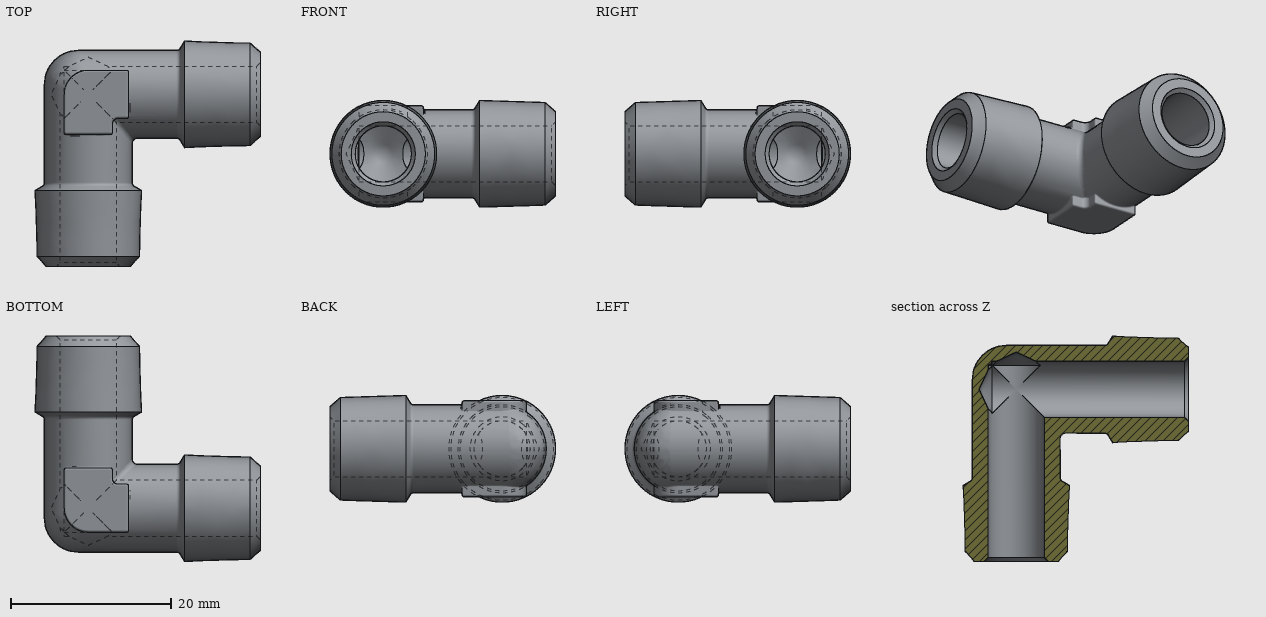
import cadquery as cq
import math

leg_length = 21.5

tube_radius = 5.5
outer_elbow_fillet = 4.3
inner_elbow_fillet = 0.6

collar_start = 12.0
collar_radius = 6.67
taper_per_side = 1 / 32
shoulder_angle = 60
neck_fillet = 0.5
end_chamfer_start = 20.2
end_face_radius = 5.25

shoulder_slope = math.tan(math.radians(shoulder_angle))
neck_corner = collar_start - (collar_radius - tube_radius) / shoulder_slope
neck_fillet_start = neck_corner - neck_fillet * math.tan(math.radians(shoulder_angle / 2))

bore_radius = 3.5
bore_chamfer = 0.5
bore_past_axis = 3.0
drill_tip_angle = 130

pad_height = 6.0
pad_near = 3.0
pad_far = 5.0
pad_corner_radius = 3.0
notch_radius = 0.75
pad_edge_fillet = 0.25
pad_corner_fillet = 0.2
pad_root_fillet = 0.2


def turned(points):
    """Revolve an (axial position, radius) outline about the X axis, with its seam at the top."""
    return cq.Workplane("XZ").polyline(points).close().revolve(360, (0, 0, 0), (1, 0, 0))


def make_both_legs(leg):
    """Return the +X leg and its matching -Y leg."""
    other = leg.mirror("XZ").rotate((0, 0, 0), (0, 0, 1), -90)
    return leg, other


def make_elbow():
    """Two tubes meeting at a mitre, as one solid."""
    tube = turned([
        (-tube_radius, 0),
        (neck_fillet_start, 0),
        (neck_fillet_start, tube_radius),
        (-tube_radius, tube_radius),
    ])
    side = 2 * leg_length
    mitre_half = (
        cq.Workplane("XY")
        .polyline([(-side, side), (side, side), (side, -side)])
        .close()
        .extrude(side, both=True)
    )
    leg, other = make_both_legs(tube.intersect(mitre_half))
    return leg.union(other)


def make_pad():
    """One wrench pad, rising from the elbow's mid-plane to the pad height."""
    pad = (
        cq.Workplane("XY")
        .moveTo(-pad_near, -pad_far)
        .lineTo(pad_near, -pad_far)
        .lineTo(pad_near, -pad_near)
        .lineTo(pad_far, -pad_near)
        .lineTo(pad_far, pad_near)
        .lineTo(-pad_near, pad_near)
        .close()
        .extrude(pad_height)
    )

    def corner(x, y):
        return cq.selectors.NearestToPointSelector((x, y, pad_height / 2))

    pad = pad.edges(corner(-pad_near, pad_near)).fillet(pad_corner_radius)
    pad = pad.edges(corner(pad_near, -pad_near)).fillet(notch_radius)
    for x, y in [(-pad_near, -pad_far), (pad_near, -pad_far), (pad_far, -pad_near), (pad_far, pad_near)]:
        pad = pad.edges(corner(x, y)).fillet(pad_corner_fillet)
    return pad.faces(">Z").edges().fillet(pad_edge_fillet)


def fillet_mitre(body, side, radius):
    """Round the curved mitre edge on the inner (side = 1) or outer (side = -1) of the elbow."""
    def is_mitre_edge(edge):
        middle = edge.Center()
        return edge.geomType() == "ELLIPSE" and side * middle.x > pad_near

    mitre_edges = [edge for edge in body.edges().vals() if is_mitre_edge(edge)]
    return body.newObject(mitre_edges).fillet(radius)


def fillet_pad_roots(body):
    """Round the joints between the pad walls and the tubes."""
    margin = 0.1
    low = -pad_far - margin
    high = pad_far + margin
    for bottom, top in [(pad_near, tube_radius), (-tube_radius, -pad_near)]:
        box = cq.selectors.BoxSelector((low, low, bottom), (high, high, top))
        body = body.edges("not |Z").edges(box).fillet(pad_root_fillet)
    return body


def make_collar():
    """Threaded end with a sloped shoulder, a tapered side, an end chamfer and a filleted neck."""
    chamfer_radius = collar_radius - taper_per_side * (end_chamfer_start - collar_start)

    def neck_arc_point(angle):
        """Point on the neck fillet after turning by the given angle from the tube."""
        turn = math.radians(angle)
        along = neck_fillet_start + neck_fillet * math.sin(turn)
        radius = tube_radius + neck_fillet * (1 - math.cos(turn))
        return along, radius

    return (
        cq.Workplane("XZ")
        .moveTo(neck_fillet_start, 0)
        .lineTo(neck_fillet_start, tube_radius)
        .threePointArc(neck_arc_point(shoulder_angle / 2), neck_arc_point(shoulder_angle))
        .lineTo(collar_start, collar_radius)
        .lineTo(end_chamfer_start, chamfer_radius)
        .lineTo(leg_length, end_face_radius)
        .lineTo(leg_length, 0)
        .close()
        .revolve(360, (0, 0, 0), (1, 0, 0))
    )


def make_bore():
    """Drilled hole with a conical bottom and a chamfered mouth."""
    bottom = -bore_past_axis
    tip = bottom - bore_radius / math.tan(math.radians(drill_tip_angle / 2))
    return turned([
        (tip, 0),
        (bottom, bore_radius),
        (leg_length - bore_chamfer, bore_radius),
        (leg_length, bore_radius + bore_chamfer),
        (leg_length, 0),
    ])


body = make_elbow()
pad = make_pad()
body = body.union(pad).union(pad.mirror("XY"))
body = fillet_mitre(body, 1, inner_elbow_fillet)
body = fillet_mitre(body, -1, outer_elbow_fillet)
body = fillet_pad_roots(body)
for collar in make_both_legs(make_collar()):
    body = body.union(collar)
for bore in make_both_legs(make_bore()):
    body = body.cut(bore)

result = body